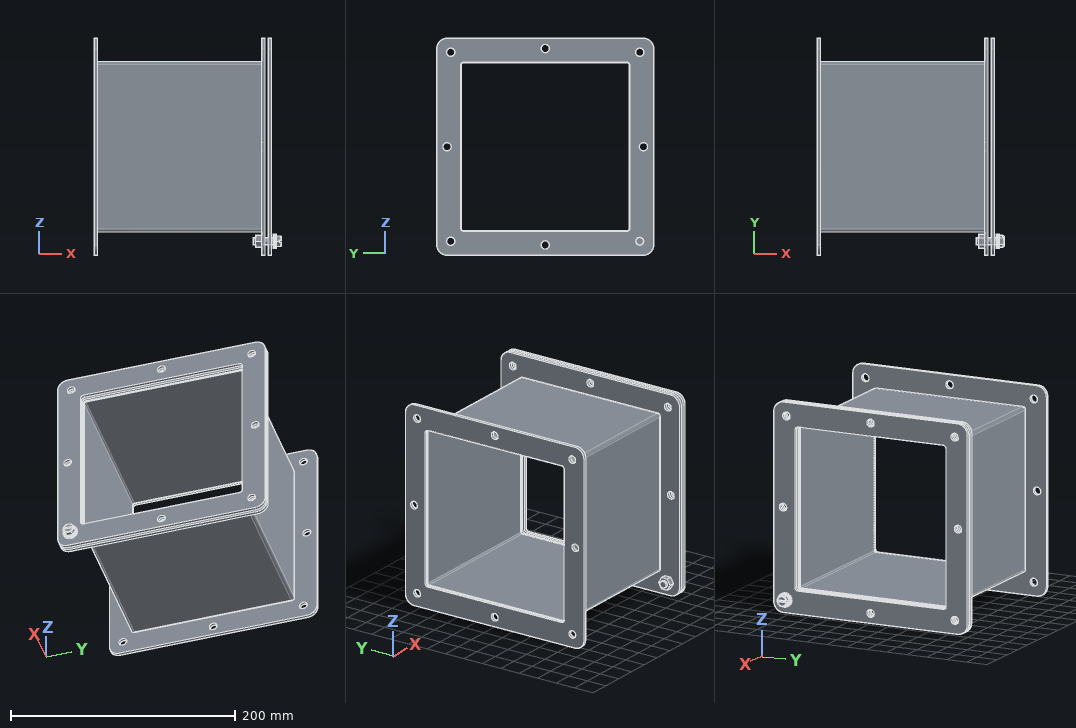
import cadquery as cq
import math

FLANGE_SIDE = 193.7
FLANGE_THICKNESS = 3.1
FLANGE_CORNER_RADIUS = 9.5
DUCT_LENGTH = 152.5
TUBE_SIDE = 152.5
TUBE_WALL = 1.5
TUBE_CORNER_RADIUS = 3.0
OPENING_SIDE = 150.9
OPENING_CORNER_RADIUS = TUBE_CORNER_RADIUS
MATING_GAP = 2.7

BOLT_HOLE_DIAMETER = 7.2
CORNER_HOLE_OFFSET = 84.3
SIDE_HOLE_OFFSET = 87.5

BOLT_DIAMETER = 6.5
BOLT_PROTRUSION = 2.1
NUT_ACROSS_FLATS = 10.8
NUT_THICKNESS = 5.5
WASHER_DIAMETER = 12.8
WASHER_ROOT_DIAMETER = 10.0
WASHER_HOLE_DIAMETER = BOLT_DIAMETER
WASHER_THICKNESS = 3.1
WASHER_TEETH = 18
HEAD_ACROSS_FLATS = 9.5
HEAD_CHAMFER = 1.2
HEAD_SLOT_WIDTH = 1.5
HEAD_SLOT_DEPTH = 1.7
HEAD_HEX_HEIGHT = 4.5
HEAD_END_X = 167.0

tube_length = DUCT_LENGTH - 2 * FLANGE_THICKNESS
duct_flange_x = DUCT_LENGTH - FLANGE_THICKNESS
mating_flange_x = DUCT_LENGTH + MATING_GAP
nut_x = duct_flange_x - NUT_THICKNESS
bolt_tip_x = nut_x - BOLT_PROTRUSION
head_hex_x = HEAD_END_X - HEAD_HEX_HEIGHT
washer_x = head_hex_x - WASHER_THICKNESS


def square_bar(side, corner_radius, x, length):
    """Square bar along X with its four long edges rounded."""
    bar = cq.Workplane("YZ").workplane(offset=x).rect(side, side).extrude(length)
    return bar.edges("|X").fillet(corner_radius)


def fastener_plane(x):
    """Workplane across X, centred on the bolt axis."""
    return cq.Workplane("YZ", origin=(x, -CORNER_HOLE_OFFSET, -CORNER_HOLE_OFFSET))


def hex_prism(across_flats, x, height):
    """Hexagonal prism on the bolt axis, with corners pointing along +Y and -Y."""
    across_corners = across_flats / math.cos(math.pi / 6)
    return fastener_plane(x).polygon(6, across_corners).extrude(height)


def make_flange(x):
    """Square flange with a square opening and holes at its corners and mid-sides."""
    plate = square_bar(FLANGE_SIDE, FLANGE_CORNER_RADIUS, x, FLANGE_THICKNESS)
    opening = square_bar(OPENING_SIDE, OPENING_CORNER_RADIUS, x, FLANGE_THICKNESS)
    corner_offsets = (-CORNER_HOLE_OFFSET, CORNER_HOLE_OFFSET)
    side_offsets = (-SIDE_HOLE_OFFSET, SIDE_HOLE_OFFSET)
    corner_points = [(y, z) for y in corner_offsets for z in corner_offsets]
    side_points = [(y, 0) for y in side_offsets] + [(0, z) for z in side_offsets]
    holes = (
        cq.Workplane("YZ")
        .workplane(offset=x)
        .pushPoints(corner_points + side_points)
        .circle(BOLT_HOLE_DIAMETER / 2)
        .extrude(FLANGE_THICKNESS)
    )
    return plate.cut(opening).cut(holes)


def make_tube():
    """Square tube that butts against the inner faces of both duct flanges."""
    outer = square_bar(TUBE_SIDE, TUBE_CORNER_RADIUS, FLANGE_THICKNESS, tube_length)
    inner_side = TUBE_SIDE - 2 * TUBE_WALL
    inner = square_bar(inner_side, TUBE_CORNER_RADIUS - TUBE_WALL, FLANGE_THICKNESS, tube_length)
    return outer.cut(inner)


def make_nut():
    """Hexagonal nut seated on the duct flange."""
    bore = fastener_plane(nut_x).circle(BOLT_DIAMETER / 2).extrude(NUT_THICKNESS)
    return hex_prism(NUT_ACROSS_FLATS, nut_x, NUT_THICKNESS).cut(bore)


def make_washer():
    """External-tooth lock washer under the bolt head, with teeth as wide as the gaps."""
    hub = fastener_plane(washer_x).circle(WASHER_ROOT_DIAMETER / 2).extrude(WASHER_THICKNESS)
    rim = fastener_plane(washer_x).circle(WASHER_DIAMETER / 2).extrude(WASHER_THICKNESS)
    tooth_width = math.pi * WASHER_ROOT_DIAMETER / WASHER_TEETH / 2
    teeth = (
        fastener_plane(washer_x)
        .polarArray(WASHER_DIAMETER / 4, 0, 360, WASHER_TEETH)
        .rect(WASHER_DIAMETER / 2, tooth_width)
        .extrude(WASHER_THICKNESS)
    )
    bore = fastener_plane(washer_x).circle(WASHER_HOLE_DIAMETER / 2).extrude(WASHER_THICKNESS)
    return hub.union(teeth.intersect(rim)).cut(bore)


def make_bolt():
    """Bolt with a slotted hexagonal head chamfered at its corners."""
    head_corner_radius = HEAD_ACROSS_FLATS / 2 / math.cos(math.pi / 6)
    head_envelope = (
        fastener_plane(head_hex_x)
        .circle(head_corner_radius)
        .extrude(HEAD_HEX_HEIGHT)
        .faces(">X")
        .chamfer(HEAD_CHAMFER)
    )
    slot = (
        fastener_plane(HEAD_END_X - HEAD_SLOT_DEPTH)
        .rect(2 * HEAD_ACROSS_FLATS, HEAD_SLOT_WIDTH)
        .extrude(HEAD_SLOT_DEPTH)
    )
    head = hex_prism(HEAD_ACROSS_FLATS, head_hex_x, HEAD_HEX_HEIGHT).intersect(head_envelope).cut(slot)
    shank = fastener_plane(bolt_tip_x).circle(BOLT_DIAMETER / 2).extrude(head_hex_x - bolt_tip_x)
    return shank.union(head)


flanges = [make_flange(x) for x in (0, duct_flange_x, mating_flange_x)]
tube = make_tube()
nut = make_nut()
washer = make_washer()
bolt = make_bolt()

result = cq.Compound.makeCompound(
    [*[flange.val() for flange in flanges], tube.val(), nut.val(), washer.val(), bolt.val()]
)